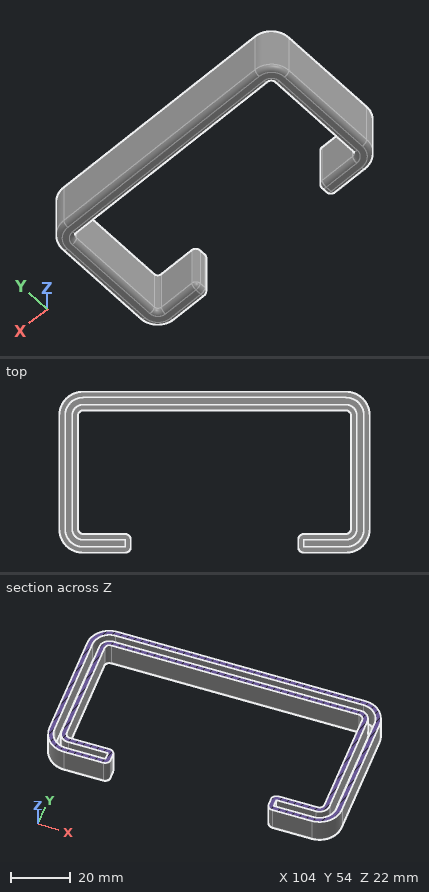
import cadquery as cq

length = 104.0
depth = 54.0
height = 22.0

wall = 2.0
groove_width = 2.4
band = 2 * wall + groove_width
floor = wall

outer_corner_radius = 8.0
inner_corner_radius = outer_corner_radius - band
mouth_width = 56.0
tip_radius = wall
bottom_fillet = wall


def rounded_block(inset, bottom, top):
    """Rounded rectangular block, set in from the outer faces by inset."""
    return (
        cq.Workplane("XY", origin=(0, 0, bottom))
        .rect(length - 2 * inset, depth - 2 * inset)
        .extrude(top - bottom)
        .edges("|Z")
        .fillet(outer_corner_radius - inset)
    )


def hook_band(outer_inset, inner_inset, opening, bottom, top):
    """C-shaped band between two insets, open at the middle of the -Y side."""
    ring = rounded_block(outer_inset, bottom, top).cut(rounded_block(inner_inset, bottom, top))
    mouth = (
        cq.Workplane("XY", origin=(0, -depth / 2, bottom))
        .rect(opening, 2 * (band + inner_corner_radius))
        .extrude(top - bottom)
    )
    return ring.cut(mouth)


body = hook_band(0, band, mouth_width, 0, height)
tip_edges = cq.selectors.BoxSelector(
    (-mouth_width / 2 - wall, -depth, -height),
    (mouth_width / 2 + wall, 0, 2 * height),
)
body = body.edges("|Z").edges(tip_edges).fillet(tip_radius)
body = body.faces("<Z").edges().fillet(bottom_fillet)

groove = hook_band(wall, wall + groove_width, mouth_width + 2 * wall, floor, height)

result = body.cut(groove)